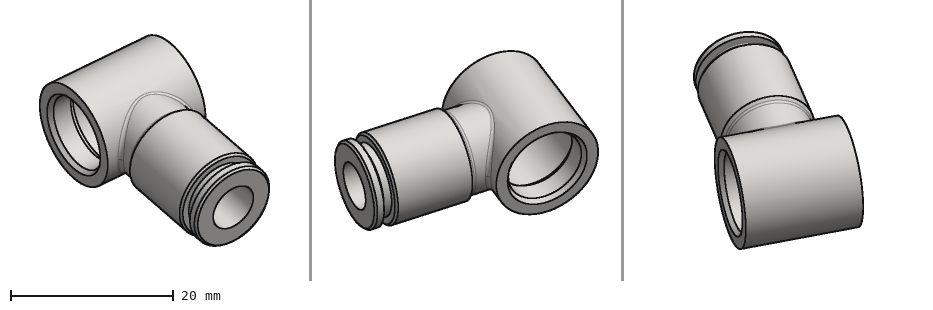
import cadquery as cq
import math

overall_length = 29.7
barrel_diameter = 14.0
barrel_width = 15.0
barrel_radius = barrel_diameter / 2
stem_end = overall_length - barrel_radius

land_diameter = 10.0
recess_diameter = 10.9
bore_step = (recess_diameter - land_diameter) / 2
mouth_depth = 0.65
land_end_depth = 3.3
recess_taper_length = 0.65

neck_radius = 11.0 / 2
body_radius = 12.0 / 2
nose_radius = 9.6 / 2
flange_radius = 11.5 / 2
blend_radius = 0.5
body_start = 9.5
body_end = 20.0
body_end_chamfer = 0.3
nose_groove_length = 0.45
nose_groove_depth = 0.18
flange_thickness = 1.22
flange_chamfer = 0.3

port_diameter = 5.0
socket_diameter = 6.15
socket_start = 6.33


def make_stem():
    """Revolve the solid stem, starting at the barrel axis."""
    blend_run = blend_radius * math.sin(math.pi / 4)
    blend_rise = blend_radius - blend_run
    cone_rise = body_radius - neck_radius - blend_rise
    cone_start = body_start - cone_rise
    neck_end = cone_start - blend_run
    blend_mid_angle = math.pi / 8
    blend_mid = (
        neck_end + blend_radius * math.sin(blend_mid_angle),
        neck_radius + blend_radius * (1 - math.cos(blend_mid_angle)),
    )
    flange_start = stem_end - flange_thickness
    groove_start = flange_start - nose_groove_length
    groove_bottom = (
        flange_start - nose_groove_length / 2,
        nose_radius - nose_groove_depth,
    )
    profile = (
        cq.Workplane("XY")
        .lineTo(0, neck_radius)
        .lineTo(neck_end, neck_radius)
        .threePointArc(blend_mid, (cone_start, neck_radius + blend_rise))
        .lineTo(body_start, body_radius)
        .lineTo(body_end - body_end_chamfer, body_radius)
        .lineTo(body_end, body_radius - body_end_chamfer)
        .lineTo(body_end, nose_radius)
        .lineTo(groove_start, nose_radius)
        .threePointArc(groove_bottom, (flange_start, nose_radius))
        .lineTo(flange_start, flange_radius)
        .lineTo(stem_end - flange_chamfer, flange_radius)
        .lineTo(stem_end, flange_radius - flange_chamfer)
        .lineTo(stem_end, 0)
        .close()
    )
    return profile.revolve(360, (0, 0, 0), (1, 0, 0))


def make_outer_body():
    """Join the barrel and stem and round the corner where they meet."""
    barrel = cq.Workplane("XZ").circle(barrel_radius).extrude(barrel_width / 2, both=True)
    body = barrel.union(make_stem())
    clearance = 0.3
    reach = neck_radius + clearance
    seam_box = cq.selectors.BoxSelector(
        (clearance, -reach, -reach),
        (barrel_radius + clearance, reach, reach),
        boundingbox=True,
    )
    return body.edges(seam_box).fillet(blend_radius)


def make_barrel_bore():
    """Revolve the cutter for the stepped bore about the Y axis."""
    end = barrel_width / 2
    mouth = end - mouth_depth
    land_end = end - land_end_depth
    recess_end = land_end - recess_taper_length
    land_radius = land_diameter / 2
    recess_radius = recess_diameter / 2
    profile = cq.Workplane("XY").polyline(
        [
            (0, -end),
            (land_radius + bore_step, -end),
            (land_radius, -mouth),
            (land_radius, -land_end),
            (recess_radius, -recess_end),
            (recess_radius, recess_end),
            (land_radius, land_end),
            (land_radius, mouth),
            (land_radius + bore_step, end),
            (0, end),
        ]
    ).close()
    return profile.revolve(360, (0, 0, 0), (0, 1, 0))


def make_stem_passage():
    """Build the cutter for the port and the tube socket."""
    port = cq.Workplane("YZ").circle(port_diameter / 2).extrude(stem_end)
    socket = (
        cq.Workplane("YZ", origin=(socket_start, 0, 0))
        .circle(socket_diameter / 2)
        .extrude(stem_end - socket_start)
    )
    return port.union(socket)


result = make_outer_body().cut(make_barrel_bore()).cut(make_stem_passage())